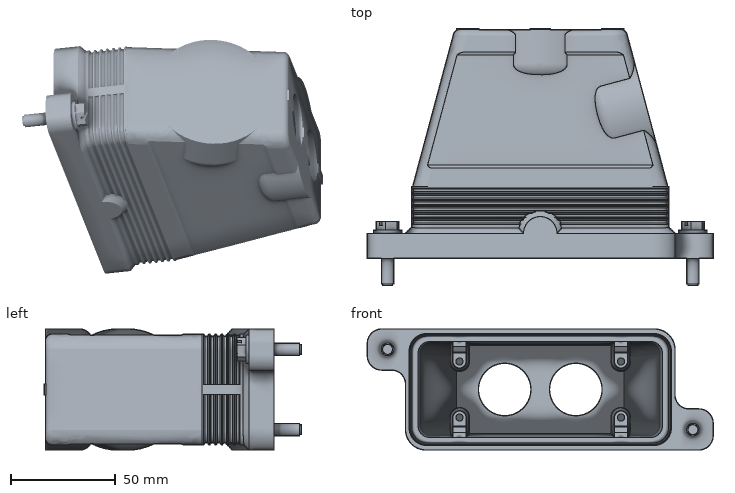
import cadquery as cq
import math


clearance = 1.0

flange_half_x = 64.5
flange_half_z = 29.0
flange_depth = 12.0
flange_corner = 10.0
ear_tip_x = 82.75
ear_bottom_z = 9.2
ear_corner = 7.0
ear_blend = 6.5

skirt_depth = 3.0
skirt_angle = 45.0
collar_half_x = flange_half_x - skirt_depth
collar_half_z = 26.5
collar_corner = flange_corner - skirt_depth
collar_end_y = 34.5
groove_count = 6
groove_pitch = 3.0
first_groove_y = 17.5
groove_mouth = 2.5
groove_floor = 1.2
groove_depth = 1.0
side_bar_half_z = 2.3

hood_start_half_x = 61.0
hood_end_y = 109.4
wall_angle = 15.0
hood_edge = 3.0
panel_half_z = 26.0
panel_start_y = 43.2
panel_end_y = 98.6
panel_slope = 1.4
seam_rib_half_x = 40.0
seam_rib_half_z = 2.7
seam_rib_top_y = 110.0

entry_radius = flange_half_z
entry_round = 6.0
back_entry_end_y = 87.0
side_entry_x = 31.6
side_entry_y = 69.8
entry_hole_radius = 12.5
entry_hole_x = 17.0

recess_half_x = 62.7
recess_half_z = 26.8
recess_corner = 8.5
recess_lip_depth = 1.8
recess_lip_inset = 0.5
recess_straight_y = 5.7
recess_floor_y = 8.2
recess_floor_inset = 1.3
cavity_half_x = 58.5
cavity_half_z = 23.0
cavity_corner = 6.0
cavity_bend_y = 35.0
cavity_bend_half_x = 57.0
cavity_end_y = 106.0
cavity_end_half_x = 40.0
cavity_end_half_z = 21.0

lug_radius = 8.0
lug_flare = 3.0

post_x = 38.6
post_z = 13.4
post_radius = 3.1
post_base_radius = 3.3
post_front_y = 18.0
post_base_y = 20.5
post_draft = 1.0
post_hole_radius = 1.7
post_hole_depth = 12.0
foot_ledge_y = 15.5
foot_front_y = 12.3
foot_start_z = 17.4
foot_ledge_z = 18.0
foot_front_z = 20.6
post_root_z = 24.0

screw_x = 73.0
screw_z = 19.2
shank_radius = 3.0
tip_length = 0.9
tip_radius = 2.4
screw_reach = 13.0
washer_radius = 6.8
washer_height = 1.5
head_height = 5.7
head_flats = 10.0
head_turn = 40.0
slot_width = 1.6
slot_depth = 2.0


def section(y):
    """Workplane across the hood at the given depth; local axes are X and Z."""
    return cq.Workplane("XZ", origin=(0, y, 0))


def rounded_outline(half_x, half_z, corner):
    return cq.Sketch().rect(2 * half_x, 2 * half_z).vertices().fillet(corner)


def rounded_slab(half_x, half_z, corner, start_y, end_y):
    outline = rounded_outline(half_x, half_z, corner)
    return section(start_y).placeSketch(outline).extrude(start_y - end_y)


def rounded_loft(start, end):
    """Ruled body between two rounded rectangles given as (y, half_x, half_z, corner)."""
    def wire(y, half_x, half_z, corner):
        return rounded_slab(half_x, half_z, corner, y, y + clearance).faces("<Y").wires().val()

    return cq.Workplane(cq.Solid.makeLoft([wire(*start), wire(*end)], True))


def make_flange():
    """Flange plate with one screw ear at each end, on opposite long edges."""
    plate = rounded_slab(flange_half_x, flange_half_z, flange_corner, 0, flange_depth)
    ear_height = flange_half_z - ear_bottom_z
    for side in (-1, 1):
        ear = (
            section(0)
            .center(side * ear_tip_x / 2, -side * (ear_bottom_z + ear_height / 2))
            .rect(ear_tip_x, ear_height)
            .extrude(-flange_depth)
            .edges("|Y and >X" if side > 0 else "|Y and <X")
            .fillet(ear_corner)
        )
        plate = plate.union(ear)
    inner_corners = cq.selectors.BoxSelector(
        (-flange_half_x - clearance, -clearance, -ear_bottom_z - clearance),
        (flange_half_x + clearance, flange_depth + clearance, ear_bottom_z + clearance),
    )
    return plate.edges("|Y").edges(inner_corners).fillet(ear_blend)


def make_skirt():
    """Sloped base that leads from the flange outline in to the collar."""
    outline = rounded_outline(flange_half_x, flange_half_z, flange_corner)
    return section(flange_depth).placeSketch(outline).extrude(-skirt_depth, taper=skirt_angle)


def make_groove(middle_y):
    """Ring of trapezoidal section around the collar, interrupted by a bar on each short side."""
    start_y = middle_y - groove_mouth / 2
    end_y = middle_y + groove_mouth / 2
    shoulder = (groove_mouth - groove_floor) / 2
    rim = (collar_half_x, collar_half_z, collar_corner)
    waist = tuple(size - groove_depth for size in rim)
    outside = rounded_slab(*(size + clearance for size in rim), start_y, end_y)
    core = rounded_slab(*waist, start_y, end_y)
    core = core.union(rounded_loft((start_y, *rim), (start_y + shoulder, *waist)))
    core = core.union(rounded_loft((end_y - shoulder, *waist), (end_y, *rim)))
    bars = section(start_y).rect(4 * collar_half_x, 2 * side_bar_half_z).extrude(-groove_mouth)
    return outside.cut(core).cut(bars)


def make_collar():
    collar = rounded_slab(collar_half_x, collar_half_z, collar_corner, flange_depth, collar_end_y)
    for index in range(groove_count):
        collar = collar.cut(make_groove(first_groove_y + index * groove_pitch))
    return collar


def make_hood():
    """Hood with slanted short walls, a sunk panel on each long wall and a rib across the end."""
    length = hood_end_y - collar_end_y
    end_half_x = hood_start_half_x - length * math.tan(math.radians(wall_angle))
    hood = rounded_loft(
        (collar_end_y, hood_start_half_x, collar_half_z, collar_corner),
        (hood_end_y, end_half_x, collar_half_z, collar_corner),
    )
    hood = hood.faces(">Y").edges().fillet(hood_edge)
    panel = (
        cq.Workplane("YZ", origin=(-flange_half_x, 0, 0))
        .moveTo(panel_start_y, collar_half_z)
        .lineTo(panel_start_y + panel_slope, panel_half_z)
        .lineTo(panel_end_y - panel_slope, panel_half_z)
        .lineTo(panel_end_y, collar_half_z)
        .close()
        .extrude(2 * flange_half_x)
    )
    hood = hood.cut(panel).cut(panel.mirror("XY"))
    seam_rib = (
        section(cavity_end_y)
        .rect(2 * seam_rib_half_x, 2 * seam_rib_half_z)
        .extrude(cavity_end_y - seam_rib_top_y)
    )
    return hood.union(seam_rib)


def make_back_entry():
    """Round cable entry swelling on the end wall, its inner end rounded over."""
    plane = cq.Plane(origin=(0, back_entry_end_y, 0), xDir=(1, 0, 0), normal=(0, 1, 0))
    entry = cq.Workplane(plane).circle(entry_radius).extrude(hood_end_y - back_entry_end_y)
    return entry.faces("<Y").edges().fillet(entry_round)


def make_side_entry():
    """Entry swelling square to the slanted +X wall and flush with it."""
    angle = math.radians(wall_angle)
    outward = (math.cos(angle), math.sin(angle), 0)
    to_wall_x = hood_start_half_x - side_entry_x
    to_wall_y = collar_end_y - side_entry_y
    to_wall = to_wall_x * outward[0] + to_wall_y * outward[1]
    cap = math.sqrt(entry_round**2 - (entry_round - (entry_radius - panel_half_z)) ** 2)
    start = (side_entry_x - cap * outward[0], side_entry_y - cap * outward[1], 0)
    plane = cq.Plane(origin=start, xDir=(0, 0, 1), normal=outward)
    entry = cq.Workplane(plane).circle(entry_radius).extrude(to_wall + cap)
    return entry.faces("<X").edges().fillet(entry_round)


def make_lugs():
    """Half-round latch lugs on both long sides, flaring down to the collar."""
    lugs = None
    for side in (-1, 1):
        lug = cq.Workplane(
            cq.Solid.makeCone(
                lug_radius + lug_flare,
                lug_radius,
                lug_flare,
                pnt=cq.Vector(0, flange_depth, side * (flange_half_z - lug_flare)),
                dir=cq.Vector(0, 0, side),
            )
        )
        lug_plane = cq.Workplane("XY", origin=(0, flange_depth, 0))
        core = lug_plane.circle(lug_radius).extrude(side * flange_half_z)
        lug = lug.union(core)
        lugs = lug if lugs is None else lugs.union(lug)
    behind_flange = section(flange_depth).rect(4 * lug_radius, 4 * flange_half_z).extrude(-4 * lug_radius)
    return lugs.intersect(behind_flange)


def make_recess():
    """Seal seat around the opening: bevelled lip, straight rim, bevel down to the seat floor."""
    def ring(y, inset):
        return y, recess_half_x - inset, recess_half_z - inset, recess_corner - inset

    mouth = ring(0, 0)
    lip = ring(recess_lip_depth, recess_lip_inset)
    rim = ring(recess_straight_y, recess_lip_inset)
    floor = ring(recess_floor_y, recess_floor_inset)
    return rounded_loft(mouth, lip).union(rounded_loft(lip, rim)).union(rounded_loft(rim, floor))


def make_cavity():
    """Interior with evenly drafted long walls and short walls that bend inwards."""
    bend_share = (cavity_bend_y - recess_floor_y) / (cavity_end_y - recess_floor_y)
    bend_half_z = cavity_half_z + bend_share * (cavity_end_half_z - cavity_half_z)
    opening = (recess_floor_y, cavity_half_x, cavity_half_z, cavity_corner)
    bend = (cavity_bend_y, cavity_bend_half_x, bend_half_z, cavity_corner)
    end = (cavity_end_y, cavity_end_half_x, cavity_end_half_z, cavity_corner)
    return make_recess().union(rounded_loft(opening, bend)).union(rounded_loft(bend, end))


def make_post(side_x, side_z):
    """Insert post on a long wall: drafted base, narrow nose with a screw hole, stepped foot."""
    def arch(radius, start_y, end_y, draft):
        profile = (
            section(start_y)
            .center(post_x, post_z)
            .moveTo(-radius, post_root_z - post_z)
            .lineTo(-radius, 0)
            .threePointArc((0, -radius), (radius, 0))
            .lineTo(radius, post_root_z - post_z)
            .close()
        )
        return profile.extrude(start_y - end_y, taper=draft)

    nose = arch(post_radius, post_front_y, post_base_y + clearance, 0)
    base = arch(post_base_radius, post_base_y, cavity_end_y + clearance, -post_draft)
    foot = (
        cq.Workplane("YZ", origin=(post_x - post_radius, 0, 0))
        .moveTo(post_base_y, foot_start_z)
        .lineTo(post_front_y, foot_start_z)
        .lineTo(foot_ledge_y, foot_ledge_z)
        .lineTo(foot_front_y, foot_front_z)
        .lineTo(foot_front_y, post_root_z)
        .lineTo(post_base_y, post_root_z)
        .close()
        .extrude(2 * post_radius)
    )
    hole = section(post_front_y).center(post_x, post_z).circle(post_hole_radius).extrude(-post_hole_depth)
    post = nose.union(base).union(foot).cut(hole)
    if side_x < 0:
        post = post.mirror("YZ")
    if side_z < 0:
        post = post.mirror("XY")
    return post


def make_screw(x, z):
    """Captive flange screw with a slotted hexagon head behind the flange."""
    def disc(radius, start_y, end_y):
        return section(start_y).center(x, z).circle(radius).extrude(start_y - end_y)

    head_top_y = flange_depth + head_height
    shank = disc(shank_radius, tip_length - screw_reach, flange_depth)
    tip = disc(tip_radius, -screw_reach, 0)
    washer = disc(washer_radius, flange_depth, flange_depth + washer_height)
    corner_circle = head_flats / math.cos(math.radians(30))
    head = (
        section(flange_depth)
        .center(x, z)
        .transformed(rotate=(0, 0, head_turn))
        .polygon(6, corner_circle)
        .extrude(-head_height)
    )
    slot = (
        section(head_top_y)
        .center(x, z)
        .transformed(rotate=(0, 0, head_turn))
        .rect(slot_width, 2 * head_flats)
        .extrude(slot_depth)
    )
    return shank.union(tip).union(washer).union(head).cut(slot)


shell = make_flange().union(make_skirt()).union(make_collar()).union(make_hood())
shell = shell.union(make_back_entry()).union(make_side_entry()).union(make_lugs())

interior = make_cavity()
for post_side_x in (-1, 1):
    for post_side_z in (-1, 1):
        interior = interior.cut(make_post(post_side_x, post_side_z))
shell = shell.cut(interior)

entry_holes = (
    section(cavity_end_y - entry_hole_radius)
    .pushPoints([(-entry_hole_x, 0), (entry_hole_x, 0)])
    .circle(entry_hole_radius)
    .extrude(-2 * entry_hole_radius)
)
shell = shell.cut(entry_holes)

result = shell.union(make_screw(-screw_x, screw_z)).union(make_screw(screw_x, -screw_z))